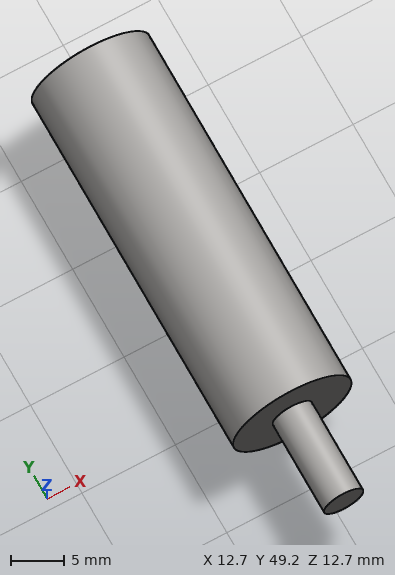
import cadquery as cq

total_length = 49.2
body_diameter = 12.7
pin_length = 10.0
pin_diameter = 4.25

body_length = total_length - pin_length


def cylinder_along_y(diameter, start_y, length):
    """Solid cylinder on the Y axis, running from start_y toward +Y."""
    return cq.Workplane("XZ", origin=(0, start_y, 0)).circle(diameter / 2).extrude(-length)


body = cylinder_along_y(body_diameter, 0, body_length)
pin = cylinder_along_y(pin_diameter, -pin_length, pin_length)

result = body.union(pin)